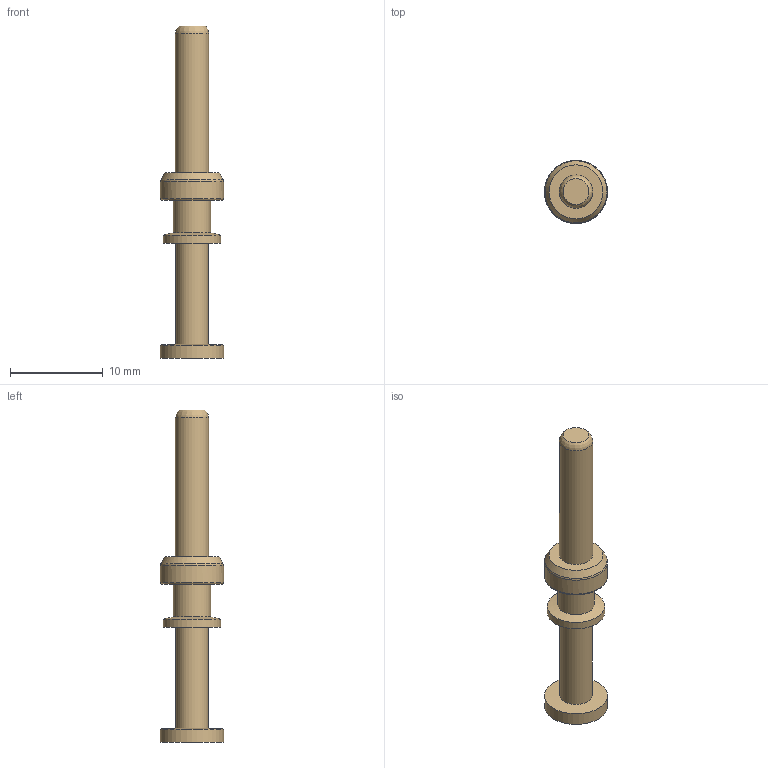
import cadquery as cq
import math

total_height = 35.8
pin_radius = 3.6 / 2
lower_shaft_radius = 3.5 / 2
neck_radius = 4.0 / 2
collar_radius = 6.8 / 2
base_radius = 6.8 / 2
disc_radius = 6.2 / 2

base_edge_height = 1.4
base_cone_height = 0.06

disc_bottom_z = 12.4
disc_edge_height = 0.85
disc_cone_height = 0.25

collar_bottom_z = 17.0
collar_height = 3.0
collar_taper_height = 0.85
collar_taper_angle = math.radians(30)
collar_taper_round = 0.4
collar_bottom_round = 0.2

tip_round_radius = 1.0
tip_height = 0.8


def solid_of_revolution(profile):
    return profile.close().revolve(360, (0, 0, 0), (0, 1, 0))


def profile_from(z):
    return cq.Workplane("XZ").moveTo(0, z)


def flange(bottom_z, radius, edge_height, cone_height, cone_top_radius):
    """Round flange whose top slopes up to the cylinder standing on it."""
    edge_top_z = bottom_z + edge_height
    profile = (
        profile_from(bottom_z)
        .lineTo(radius, bottom_z)
        .lineTo(radius, edge_top_z)
        .lineTo(cone_top_radius, edge_top_z + cone_height)
        .lineTo(0, edge_top_z + cone_height)
    )
    return solid_of_revolution(profile)


def cylinder(radius, bottom_z, top_z):
    return cq.Workplane("XY").workplane(offset=bottom_z).circle(radius).extrude(top_z - bottom_z)


def pin(bottom_z):
    """Upper pin with a rounded, flat-ended tip."""
    def tip_radius_at(height):
        arc_depth = tip_round_radius - math.sqrt(tip_round_radius**2 - height**2)
        return pin_radius - arc_depth

    tip_start_z = total_height - tip_height
    tip_middle_height = tip_height / 2
    profile = (
        profile_from(bottom_z)
        .lineTo(pin_radius, bottom_z)
        .lineTo(pin_radius, tip_start_z)
        .threePointArc(
            (tip_radius_at(tip_middle_height), tip_start_z + tip_middle_height),
            (tip_radius_at(tip_height), total_height),
        )
        .lineTo(0, total_height)
    )
    return solid_of_revolution(profile)


def collar():
    """Collar with a tapered top; its outer edges are rounded."""
    top_z = collar_bottom_z + collar_height
    taper_start_z = top_z - collar_taper_height
    top_radius = collar_radius - collar_taper_height * math.tan(collar_taper_angle)
    profile = (
        profile_from(collar_bottom_z)
        .lineTo(collar_radius, collar_bottom_z)
        .lineTo(collar_radius, taper_start_z)
        .lineTo(top_radius, top_z)
        .lineTo(0, top_z)
    )
    body = solid_of_revolution(profile)
    body = body.faces("%CYLINDER").edges(">Z").fillet(collar_taper_round)
    return body.faces("<Z").edges().fillet(collar_bottom_round)


base = flange(0, base_radius, base_edge_height, base_cone_height, lower_shaft_radius)
disc = flange(disc_bottom_z, disc_radius, disc_edge_height, disc_cone_height, neck_radius)

lower_shaft = cylinder(lower_shaft_radius, 0, disc_bottom_z)
neck = cylinder(neck_radius, disc_bottom_z, collar_bottom_z)

result = (
    base.union(lower_shaft)
    .union(disc)
    .union(neck)
    .union(collar())
    .union(pin(collar_bottom_z))
)